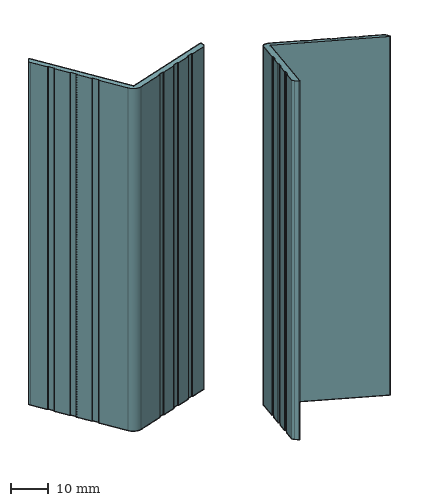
import cadquery as cq
import math

leg = 35.0
length = 100.0
thickness = 2.0
corner_radius = 2.5

nose_radius = 0.3
shoulder_radius = 1.2
bevel_angle = math.radians(60)

groove_count = 3
groove_width = 2.0
groove_depth = 0.3
groove_pitch = 7.0
first_groove_center = 8.1

nose_center_y = thickness - nose_radius
bevel_top_x = nose_radius * (1 - math.sin(bevel_angle))
bevel_top_y = nose_center_y - nose_radius * math.cos(bevel_angle)
bevel_foot_y = shoulder_radius * (1 - math.cos(bevel_angle))
bevel_foot_x = bevel_top_x + (bevel_top_y - bevel_foot_y) / math.tan(bevel_angle)
shoulder_end_x = bevel_foot_x + shoulder_radius * math.sin(bevel_angle)
shoulder_mid_x = shoulder_end_x - shoulder_radius * math.sin(bevel_angle / 2)
shoulder_mid_y = shoulder_radius * (1 - math.cos(bevel_angle / 2))


def make_leg():
    """Leg along X with its outer face on Y = 0 and its free edge at X = 0."""
    profile = (
        cq.Workplane("XY")
        .moveTo(shoulder_end_x, 0)
        .lineTo(leg, 0)
        .lineTo(leg, thickness)
        .lineTo(nose_radius, thickness)
        .threePointArc((0, nose_center_y), (bevel_top_x, bevel_top_y))
        .lineTo(bevel_foot_x, bevel_foot_y)
        .threePointArc((shoulder_mid_x, shoulder_mid_y), (shoulder_end_x, 0))
        .close()
    )
    body = profile.extrude(length)
    for index in range(groove_count):
        center = first_groove_center + index * groove_pitch
        groove = cq.Workplane("XY").box(
            groove_width, 2 * groove_depth, length, centered=(True, True, False)
        )
        body = body.cut(groove.translate((center, 0, 0)))
    return body


front_leg = make_leg()

side_leg = front_leg.mirror("XZ").rotate((0, 0, 0), (0, 0, 1), -90).translate((leg, leg, 0))

outer_corner = cq.selectors.NearestToPointSelector((leg, 0, length / 2))
result = front_leg.union(side_leg).edges(outer_corner).fillet(corner_radius)